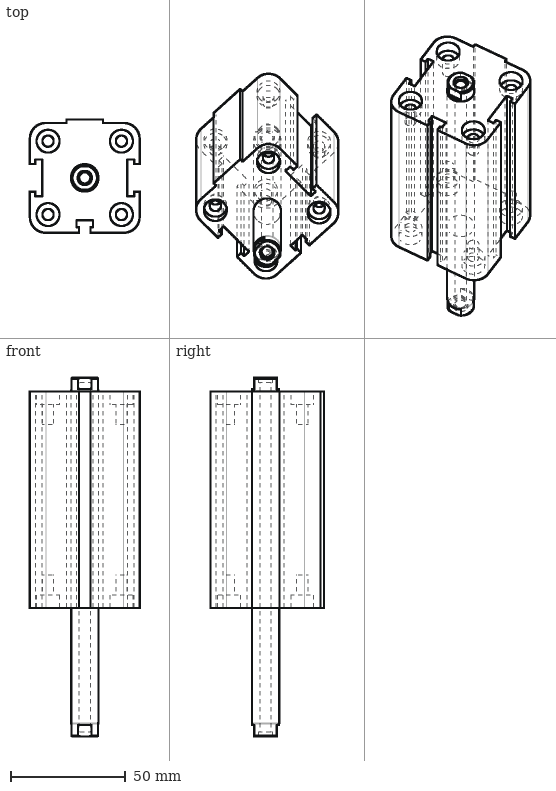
import cadquery as cq

housing_width = 48.0
housing_length = 94.5
half_width = housing_width / 2
corner_radius = 7.0

rail_width = 16.0
rail_height = 1.5

side_slot_mouth = 12.0
side_slot_channel = 16.0
side_slot_depth = 5.4
front_slot_mouth = 5.0
front_slot_channel = 7.0
front_slot_depth = 5.5
slot_lip = 2.5

mount_spacing = 32.0
counterbore_diameter = 10.0
counterbore_depth = 5.7
mount_hole_diameter = 4.92
mount_hole_depth = 14.5

rod_diameter = 12.0
rod_above = 6.0
rod_below = 56.0
rod_length = rod_below + housing_length + rod_above

tip_diameter = 11.7
tip_length = 6.0
tip_chamfer = 0.5
neck_taper_length = 0.5
flat_length = 5.0
width_across_flats = 10.0
shank_length = rod_length - 2 * tip_length

bore_diameter = 4.92
bore_entry_diameter = 6.2
bore_entry_depth = 2.0


def cylinder(diameter, length):
    """Cylinder on the Z axis, rising from Z = 0."""
    return cq.Workplane("XY").circle(diameter / 2).extrude(length)


def upright_block(width, depth, height):
    """Block centred on X, reaching from Y = 0 toward +Y and from Z = 0 up."""
    return cq.Workplane("XY").box(width, depth, height, centered=(True, False, False))


def t_slot(mouth, channel, depth):
    """T-slot cutter for the -Y side, running the full housing length."""
    mouth_cut = upright_block(mouth, depth, housing_length)
    channel_cut = upright_block(channel, depth - slot_lip, housing_length).translate((0, slot_lip, 0))
    return mouth_cut.union(channel_cut).translate((0, -half_width, 0))


def mounting_holes():
    """Four counterbored blind holes, opening at Z = 0 and going down."""
    corners = cq.Workplane("XY").rect(mount_spacing, mount_spacing, forConstruction=True).vertices()
    counterbores = corners.circle(counterbore_diameter / 2).extrude(-counterbore_depth)
    holes = corners.circle(mount_hole_diameter / 2).extrude(-mount_hole_depth)
    return counterbores.union(holes)


def make_housing():
    body = (
        cq.Workplane("XY")
        .rect(housing_width, housing_width)
        .extrude(housing_length)
        .edges("|Z")
        .fillet(corner_radius)
    )
    body = body.union(upright_block(rail_width, half_width + rail_height, housing_length))

    body = body.cut(t_slot(front_slot_mouth, front_slot_channel, front_slot_depth))
    side_slot = t_slot(side_slot_mouth, side_slot_channel, side_slot_depth)
    for angle in (-90, 90):
        body = body.cut(side_slot.rotate((0, 0, 0), (0, 0, 1), angle))

    body = body.cut(mounting_holes().translate((0, 0, housing_length)))
    body = body.cut(mounting_holes().mirror("XY"))

    return body.cut(cylinder(rod_diameter, housing_length))


def make_rod_tip():
    """Upward tip standing on Z = 0: tapered neck, chamfered end, two flats and bore entry."""
    half_profile = [
        (0, 0),
        (rod_diameter / 2, 0),
        (tip_diameter / 2, neck_taper_length),
        (tip_diameter / 2, tip_length - tip_chamfer),
        (tip_diameter / 2 - tip_chamfer, tip_length),
        (0, tip_length),
    ]
    tip = cq.Workplane("XZ").polyline(half_profile).close().revolve(360, (0, 0), (0, 1))

    flat_cut = upright_block(rod_diameter, rod_diameter, flat_length)
    flat_cut = flat_cut.translate((0, width_across_flats / 2, tip_length - flat_length))
    tip = tip.cut(flat_cut).cut(flat_cut.mirror("XZ"))

    bore_entry = cylinder(bore_entry_diameter, bore_entry_depth)
    return tip.cut(bore_entry.translate((0, 0, tip_length - bore_entry_depth)))


def make_rod():
    tip = make_rod_tip()
    rod = cylinder(rod_diameter, shank_length)
    rod = rod.union(tip.translate((0, 0, shank_length)))
    rod = rod.union(tip.mirror("XY"))
    rod = rod.translate((0, 0, tip_length))
    rod = rod.cut(cylinder(bore_diameter, rod_length))
    return rod.translate((0, 0, -rod_below))


housing = make_housing()
rod = make_rod()
result = cq.Compound.makeCompound([housing.solids().val(), rod.solids().val()])